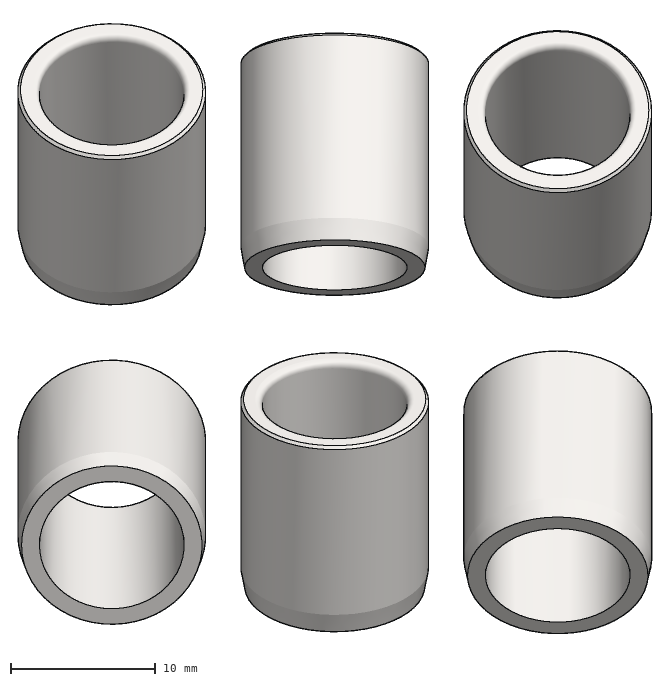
import cadquery as cq
import math

outer_diameter = 13.0
bore_diameter = 10.0
length = 15.0
entry_fillet = 0.5
top_chamfer = 0.2
lead_in_height = 1.5
lead_in_angle = 10.0

outer_radius = outer_diameter / 2
bore_radius = bore_diameter / 2
nose_radius = outer_radius - lead_in_height * math.tan(math.radians(lead_in_angle))


def turned_body():
    """Sleeve with a tapered nose, made by revolving its outer outline about Z."""
    outline = (
        cq.Workplane("XZ")
        .moveTo(bore_radius, 0)
        .lineTo(nose_radius, 0)
        .lineTo(outer_radius, lead_in_height)
        .lineTo(outer_radius, length)
        .lineTo(bore_radius, length)
        .close()
    )
    return outline.revolve(360, (0, 0, 0), (0, 1, 0))


def finish_top_edges(body):
    """Round the bore mouth and break the outer edge of the top face."""
    inside_bore_edge = cq.selectors.RadiusNthSelector(0)
    outside_edge = cq.selectors.RadiusNthSelector(-1)
    rounded = body.faces(">Z").edges(inside_bore_edge).fillet(entry_fillet)
    return rounded.faces(">Z").edges(outside_edge).chamfer(top_chamfer)


result = finish_top_edges(turned_body())